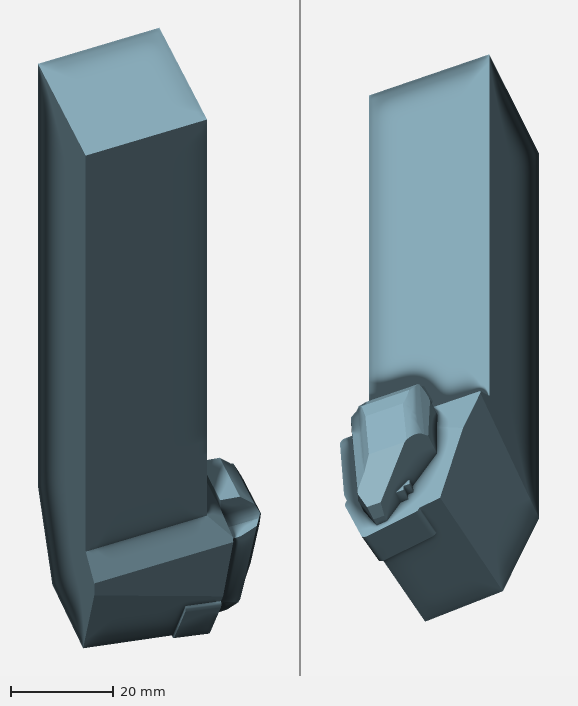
import cadquery as cq
import math

total_length = 152.4
shank_width = 25.5
head_width = 30.0
head_start = 34.1

relief_angle = 6.4
end_slope = 4.7
side_slope = 15.0
back_slope = 20.0
back_lean = 1.7
back_start = 26.2
end_corner_x = 24.1
end_corner_z = 3.8

rake_y = 25.3
rake_fall_x = 0.09
rake_rise_z = 0.14

insert_edge = 13.1
insert_thickness = 7.3
insert_radius = 1.2
insert_corner_x = 26.8
insert_corner_z = -0.08

rake_point = (insert_corner_x, rake_y, insert_corner_z)
rake_normal = (rake_fall_x, 1, -rake_rise_z)

clamp_left = 9.0
crown_left = 13.0
crown_right = 20.9
waist_left = 10.5
waist_right = 21.2
waist_z = 28.8
clamp_right = 26.2
clamp_rear = 31.9
clamp_front = 1.8
clamp_top = 38.3
clamp_fall = 0.17
clamp_crest_z = 21.3
clamp_ear_z = 25.9

lug_bottom = 5.3
lug_step_height = 1.4
lug_step_x = (16.5, 15.2)
lug_end = 19.8
lug_top = 29.4

cut_size = 2 * total_length


def sine(angle):
    return math.sin(math.radians(angle))


def cosine(angle):
    return math.cos(math.radians(angle))


def tangent(angle):
    return math.tan(math.radians(angle))


def trim(body, point, outward):
    """Remove everything on the outward side of a plane."""
    plane = cq.Plane(origin=point, normal=outward)
    half_space = cq.Workplane(plane).rect(cut_size, cut_size).extrude(cut_size)
    return body.cut(half_space)


def make_head():
    head = cq.Workplane("XY").box(head_width, head_width, head_start, centered=False)
    shoulder = (shank_width, shank_width, head_start)
    head = trim(head, shoulder, (1, 0, 1))
    head = trim(head, shoulder, (0, 1, 1))
    relief = tangent(relief_angle)
    end_corner = (end_corner_x, 0, end_corner_z)
    head = trim(head, end_corner, (-sine(end_slope), -relief, -cosine(end_slope)))
    head = trim(head, end_corner, (cosine(side_slope), -relief, -sine(side_slope)))
    back_normal = (-cosine(back_slope), tangent(back_lean), -sine(back_slope))
    head = trim(head, (0, 0, back_start), back_normal)
    return trim(head, rake_point, rake_normal)


def make_shank():
    shank = cq.Workplane("XY").workplane(offset=head_start)
    return shank.rect(shank_width, shank_width, centered=False).extrude(total_length - head_start)


def clamp_profile():
    """Length profile in YZ, from the rear edge over the top to the nose; its underside lies in the head."""
    return (
        cq.Workplane("YZ")
        .polyline([
            (30.0, clamp_rear), (34.1, 31.2), (37.0, 28.2), (clamp_top, 25.3), (clamp_top, clamp_crest_z),
            (36.4, 10.7), (30.3, 2.3), (27.5, clamp_front), (25.1, clamp_front), (26.7, 18.3), (28.8, 29.0),
            (30.0, 29.5),
        ])
        .close()
        .extrude(head_width)
    )


def clamp_outline():
    """Outline in XZ: narrow rear, flares to the wider middle, slanted front end."""
    return (
        cq.Workplane("XZ")
        .moveTo(10.0, clamp_rear)
        .lineTo(crown_right, clamp_rear)
        .lineTo(waist_right, waist_z)
        .threePointArc((21.8, 27.1), (23.2, clamp_ear_z))
        .lineTo(clamp_right, clamp_ear_z)
        .lineTo(clamp_right, 7.6)
        .lineTo(23.6, clamp_front)
        .lineTo(21.3, clamp_front)
        .lineTo(9.6, 14.8)
        .lineTo(clamp_left, 25.8)
        .threePointArc((9.5, 27.5), (waist_left, waist_z))
        .close()
        .extrude(-2 * clamp_top)
    )


def clamp_bar():
    """Cross-section in XY with a rounded and bevelled top, swept along the falling top."""
    drop = clamp_fall * clamp_crest_z
    section = (
        cq.Workplane("XY", origin=(0, -drop, 0))
        .moveTo(clamp_left, 0)
        .lineTo(clamp_left, 33.2)
        .lineTo(10.0, 35.5)
        .threePointArc((11.1, 37.2), (crown_left, clamp_top))
        .lineTo(crown_right, clamp_top)
        .lineTo(22.7, 36.7)
        .lineTo(24.8, 35.4)
        .lineTo(25.6, 33.2)
        .lineTo(clamp_right, 31.4)
        .lineTo(clamp_right, 0)
        .close()
    )
    sweep = cq.Vector(0, 2 * drop, 2 * clamp_crest_z)
    return cq.Workplane(obj=cq.Solid.extrudeLinear(section.val(), [], sweep))


def clamp_lug():
    """Small two-step lug at the foot of the clamp's slanted front end."""
    lug = cq.Workplane()
    for step, x in enumerate(lug_step_x):
        z = lug_bottom + step * lug_step_height
        block = cq.Workplane("XY").box(lug_end - x, lug_top - rake_y, lug_step_height, centered=False)
        lug = lug.add(block.translate((x, rake_y, z)))
    return lug.combine()


def make_clamp():
    clamp = clamp_profile().intersect(clamp_outline()).intersect(clamp_bar())
    return clamp.union(clamp_lug())


def make_insert():
    corner_angle = 90 - end_slope + side_slope
    edge_rise = rake_fall_x * cosine(end_slope) + rake_rise_z * sine(end_slope)
    seat = cq.Plane(
        origin=rake_point,
        xDir=(-cosine(end_slope), edge_rise, sine(end_slope)),
        normal=rake_normal,
    )
    far_x = insert_edge * cosine(corner_angle)
    far_y = insert_edge * sine(corner_angle)
    return (
        cq.Workplane(seat)
        .polyline([(0, 0), (insert_edge, 0), (insert_edge + far_x, far_y), (far_x, far_y)])
        .close()
        .extrude(-insert_thickness)
        .edges(cq.selectors.ParallelDirSelector(cq.Vector(*rake_normal)))
        .fillet(insert_radius)
    )


insert = make_insert()
holder = make_head().union(make_shank()).union(make_clamp()).cut(insert)

result = cq.Compound.makeCompound([holder.val(), insert.val()])